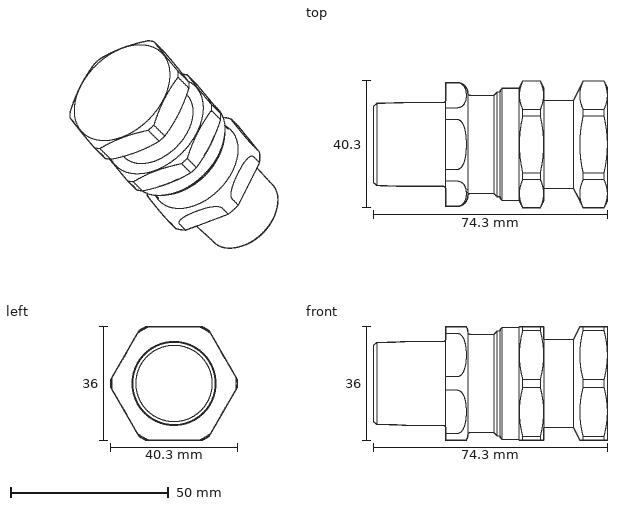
import cadquery as cq
import math


TOTAL_LENGTH = 74.3
HEX_FLATS = 36.0
NUT_CORNER_DIA = 40.3

END_DIA = 24.2
TAPER_START_DIA = 26.15
SPIGOT_DIA = 26.7
END_CHAMFER_LENGTH = 1.1
TAPER_END_X = 10.3
SPIGOT_FILLET = 0.7
ENTRY_HEX_X = 22.9
ENTRY_CORNER_DIA = 39.4
SHOULDER_START_X = 26.5
SHOULDER_RADIUS = 3.5
BARREL_DIA = 31.2
BARREL_FILLET_LENGTH = 0.8
BARREL_FILLET_RISE = 0.4

RING_X = 38.2
RING_DIA = 33.35
RING_CHAMFER = (RING_DIA - BARREL_DIA) / 2

NUT_X = 40.2
NUT_COLLAR_DIA = 35.7
NUT_COLLAR_CHAMFER = 0.7
NUT_HEX_X = 46.2
NUT_END_X = 54.1

NECK_DIA = 28.0
BACK_NUT_X = 63.45

CONE_SLOPE = 2.0


def turned(outline):
    """Revolve a closed XY outline about the X axis."""
    return outline.close().revolve(360, (0, 0, 0), (1, 0, 0))


def hexagon(start_x, end_x):
    """Hexagonal bar along X with two flats facing up and down."""
    corner_dia = HEX_FLATS / math.cos(math.pi / 6)
    return cq.Workplane("YZ").workplane(offset=start_x).polygon(6, corner_dia).extrude(end_x - start_x)


def chamfered_hexagon(start_x, end_x, start_dia, end_dia):
    """Hexagon trimmed by a cylinder with a cone at each end."""
    corner_radius = NUT_CORNER_DIA / 2
    start_rise = (corner_radius - start_dia / 2) / CONE_SLOPE
    end_rise = (corner_radius - end_dia / 2) / CONE_SLOPE
    envelope = turned(
        cq.Workplane("XY")
        .moveTo(start_x, 0)
        .lineTo(start_x, start_dia / 2)
        .lineTo(start_x + start_rise, corner_radius)
        .lineTo(end_x - end_rise, corner_radius)
        .lineTo(end_x, end_dia / 2)
        .lineTo(end_x, 0)
    )
    return hexagon(start_x, end_x).intersect(envelope)


def make_entry_body():
    spigot_radius = SPIGOT_DIA / 2
    spigot = turned(
        cq.Workplane("XY")
        .lineTo(0, END_DIA / 2)
        .lineTo(END_CHAMFER_LENGTH, TAPER_START_DIA / 2)
        .lineTo(TAPER_END_X, spigot_radius)
        .lineTo(ENTRY_HEX_X - SPIGOT_FILLET, spigot_radius)
        .radiusArc((ENTRY_HEX_X, spigot_radius + SPIGOT_FILLET), -SPIGOT_FILLET)
        .lineTo(ENTRY_HEX_X, 0)
    )

    corner_radius = ENTRY_CORNER_DIA / 2
    barrel_radius = BARREL_DIA / 2
    shoulder_end_x = SHOULDER_START_X + SHOULDER_RADIUS
    shoulder = turned(
        cq.Workplane("XY")
        .moveTo(ENTRY_HEX_X, 0)
        .lineTo(ENTRY_HEX_X, corner_radius)
        .lineTo(SHOULDER_START_X, corner_radius)
        .radiusArc((shoulder_end_x, corner_radius - SHOULDER_RADIUS), SHOULDER_RADIUS)
        .lineTo(shoulder_end_x, 0)
    )
    trimmed_hex = hexagon(ENTRY_HEX_X, shoulder_end_x).intersect(shoulder)

    fillet_radius = (BARREL_FILLET_LENGTH**2 + BARREL_FILLET_RISE**2) / (2 * BARREL_FILLET_RISE)
    barrel = turned(
        cq.Workplane("XY")
        .moveTo(shoulder_end_x, 0)
        .lineTo(shoulder_end_x, barrel_radius + BARREL_FILLET_RISE)
        .radiusArc((shoulder_end_x + BARREL_FILLET_LENGTH, barrel_radius), -fillet_radius)
        .lineTo(RING_X, barrel_radius)
        .lineTo(RING_X, 0)
    )
    return spigot.union(trimmed_hex).union(barrel)


def make_seal_ring():
    return (
        cq.Workplane("YZ").workplane(offset=RING_X)
        .circle(RING_DIA / 2)
        .extrude(NUT_X - RING_X)
        .faces("<X").chamfer(RING_CHAMFER)
    )


def make_clamping_nut():
    collar = (
        cq.Workplane("YZ").workplane(offset=NUT_X)
        .circle(NUT_COLLAR_DIA / 2)
        .extrude(NUT_HEX_X - NUT_X)
        .faces("<X").chamfer(NUT_COLLAR_CHAMFER)
    )
    return collar.union(chamfered_hexagon(NUT_HEX_X, NUT_END_X, NUT_COLLAR_DIA, NUT_COLLAR_DIA))


def make_neck_sleeve():
    return (
        cq.Workplane("YZ").workplane(offset=NUT_END_X)
        .circle(NECK_DIA / 2)
        .extrude(BACK_NUT_X - NUT_END_X)
    )


def make_back_nut():
    return chamfered_hexagon(BACK_NUT_X, TOTAL_LENGTH, NECK_DIA, NUT_COLLAR_DIA)


entry_body = make_entry_body()
seal_ring = make_seal_ring()
clamping_nut = make_clamping_nut()
neck_sleeve = make_neck_sleeve()
back_nut = make_back_nut()

result = cq.Compound.makeCompound([
    entry_body.val(),
    seal_ring.val(),
    clamping_nut.val(),
    neck_sleeve.val(),
    back_nut.val(),
])